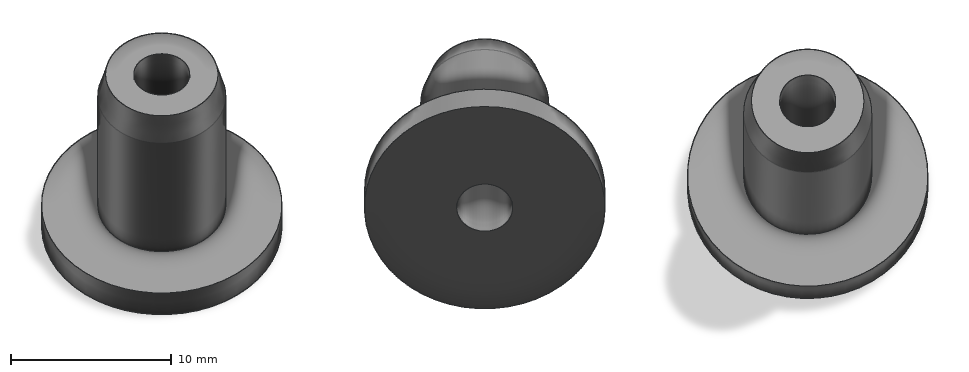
import cadquery as cq

flange_diameter = 15.0
flange_thickness = 2.0
shank_diameter = 8.0
tip_diameter = 7.0
taper_height = 2.0
total_height = 14.0
bore_diameter = 3.5

taper_start = total_height - taper_height

half_section = (
    cq.Workplane("XZ")
    .moveTo(bore_diameter / 2, 0)
    .lineTo(flange_diameter / 2, 0)
    .lineTo(flange_diameter / 2, flange_thickness)
    .lineTo(shank_diameter / 2, flange_thickness)
    .lineTo(shank_diameter / 2, taper_start)
    .lineTo(tip_diameter / 2, total_height)
    .lineTo(bore_diameter / 2, total_height)
    .close()
)

result = half_section.revolve(360, (0, 0, 0), (0, 1, 0))